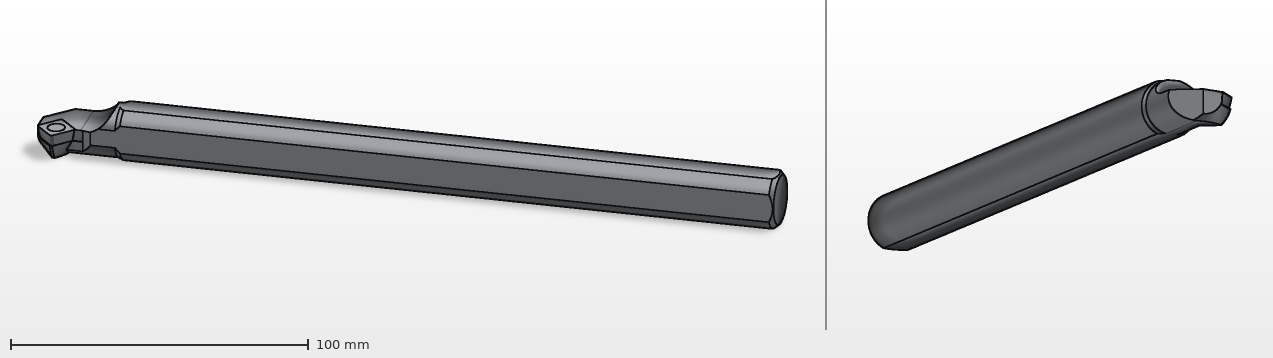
import cadquery as cq
import math

bar_length = 257.5
bar_radius = 10.0
flat_height = 9.0
side_flat_offset = 8.8
end_chamfer = 1.5

neck_radius = 9.3
neck_end = 27.5
shoulder_end = 29.4

insert_x = 6.5
insert_y = -6.5
insert_side = 9.5
insert_thickness = 4.0
insert_clearance = 7.0
insert_corner_radius = 0.8
screw_shank_diameter = 4.5
screw_head_diameter = 6.0

rake_tilt = 4.0
rake_height = 1.5
gullet_start = 15.0
gullet_radius = 11.8
nose_radius = 6.83
tip_radius = 12.5
tip_fall_end = 19.3
slant_start_y = 0.39
slant_end_x = 9.0
notch_y = -6.7
notch_floor_end = 15.7
notch_end = 19.0
cut_width = 51.5

insert_center_y = insert_y / math.cos(math.radians(rake_tilt))


def tilt_to_rake(shape):
    """Turn a shape built on the XY plane onto the tilted rake face."""
    tilted = shape.rotate((0, 0, 0), (1, 0, 0), rake_tilt)
    return tilted.translate((0, 0, rake_height))


def insert_blank():
    """Tapered square whose top face lies on the rake face."""
    blank = (
        cq.Workplane("XY")
        .rect(insert_side, insert_side)
        .extrude(-insert_thickness, taper=insert_clearance)
        .edges("not(|X or |Y)")
        .fillet(insert_corner_radius)
        .rotate((0, 0, 0), (0, 0, 1), 45)
        .translate((insert_x, insert_center_y, 0))
    )
    return tilt_to_rake(blank)


def clamping_screw():
    """Screw with a 45 degree head that lies flush with the rake face."""
    shank_radius = screw_shank_diameter / 2
    head_radius = screw_head_diameter / 2
    profile = [
        (0, 0),
        (head_radius, 0),
        (shank_radius, shank_radius - head_radius),
        (shank_radius, -insert_thickness),
        (0, -insert_thickness),
    ]
    screw = cq.Workplane("XZ").polyline(profile).close().revolve(360, (0, 0), (0, 1))
    return tilt_to_rake(screw.translate((insert_x, insert_center_y, 0)))


def bar():
    """Shank and neck as one turned shape, trimmed by the flats."""
    profile = [
        (0, 0),
        (0, nose_radius),
        (neck_radius - nose_radius, neck_radius),
        (neck_end, neck_radius),
        (shoulder_end, bar_radius),
        (bar_length - end_chamfer, bar_radius),
        (bar_length, bar_radius - end_chamfer),
        (bar_length, 0),
    ]
    turned = cq.Workplane("XY").polyline(profile).close().revolve(360, (0, 0), (1, 0))
    flats = cq.Workplane("XY").box(
        bar_length, side_flat_offset + bar_radius, 2 * flat_height, centered=(False, False, True)
    )
    return turned.intersect(flats.translate((0, -side_flat_offset, 0)))


def head_outline():
    """Plan shape of the bar, with the slanted back and the chip notch."""
    outline = [
        (0, slant_start_y),
        (slant_end_x, neck_radius),
        (slant_end_x, bar_radius),
        (bar_length, bar_radius),
        (bar_length, -side_flat_offset),
        (notch_end, -side_flat_offset),
        (notch_floor_end, notch_y),
        (0, notch_y),
    ]
    prism = cq.Workplane("XY").polyline(outline).close().extrude(2 * flat_height)
    return prism.translate((0, 0, -flat_height))


def insert_support():
    """Double cone about the bar axis, kept on the insert side of the bar."""
    profile = [
        (0, 0),
        (0, nose_radius),
        (tip_radius - nose_radius, tip_radius),
        (tip_fall_end - tip_radius, tip_radius),
        (tip_fall_end, 0),
    ]
    cone = cq.Workplane("XY").polyline(profile).close().revolve(360, (0, 0), (1, 0))
    side = cq.Workplane("XY").box(
        tip_fall_end, tip_radius, 2 * flat_height, centered=(False, False, True)
    )
    return cone.intersect(side.translate((0, -tip_radius, 0)))


def rake_cut():
    """Space above the rake face, ending in the round chip gullet."""
    quarter = gullet_radius * math.sqrt(0.5)
    space = (
        cq.Workplane("XZ")
        .moveTo(-2.5, 0)
        .lineTo(gullet_start, 0)
        .threePointArc(
            (gullet_start + quarter, gullet_radius - quarter),
            (gullet_start + gullet_radius, gullet_radius),
        )
        .lineTo(-2.5, gullet_radius)
        .close()
        .extrude(cut_width / 2, both=True)
    )
    return tilt_to_rake(space)


def seat_cut():
    """Space over the seat on the free sides of the insert."""
    space = cq.Workplane("XY").box(
        notch_floor_end, cut_width, insert_thickness, centered=(False, False, False)
    )
    return tilt_to_rake(space.translate((0, notch_y - cut_width, -insert_thickness)))


insert = insert_blank().cut(clamping_screw())

holder = (
    bar()
    .intersect(head_outline())
    .union(insert_support())
    .cut(rake_cut())
    .cut(seat_cut())
    .cut(insert_blank())
    .union(clamping_screw())
)

result = cq.Compound.makeCompound([holder.solids().val(), insert.solids().val()])